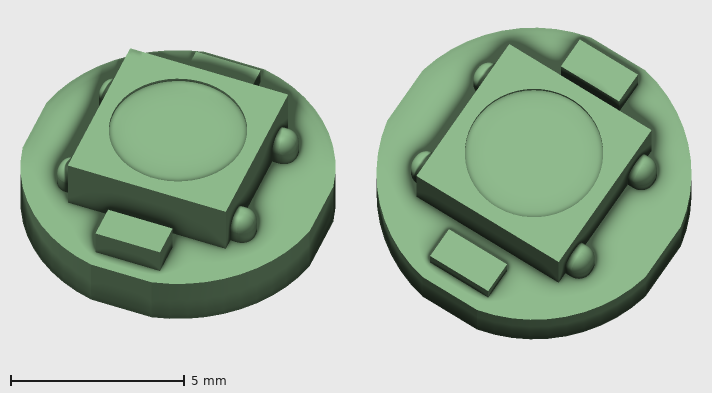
import cadquery as cq

board_radius = 4.55
board_across_flats = 8.9
board_thickness = 1.5

body_side = 4.9
total_height = 3.1
body_height = total_height - board_thickness
recess_diameter = 4.0
recess_depth = 0.1

terminal_span = 6.105
terminal_width = 0.9
terminal_height = 0.8
terminal_rounding = 0.4
terminal_offset = 1.65

block_length = 2.0
block_width = 1.0
block_offset = 3.45
front_block_height = 0.8
back_block_height = 0.5


def box_on_board(length, width, height, y=0.0):
    """Box standing on the board, centred on X = 0 and the given Y."""
    box = cq.Workplane("XY").box(length, width, height, centered=(True, True, False))
    return box.translate((0, y, board_thickness))


def make_board():
    """Disc trimmed by a square to leave a flat on each of the four sides."""
    disc = cq.Workplane("XY").circle(board_radius).extrude(board_thickness)
    trim = cq.Workplane("XY").rect(board_across_flats, board_across_flats).extrude(board_thickness)
    return disc.intersect(trim)


def make_terminal_pair(y):
    """Bar running through the body, so a rounded end stands out on either side."""
    bar = box_on_board(terminal_span, terminal_width, terminal_height, y)
    bar = bar.edges("|Z").fillet(terminal_rounding)
    return bar.faces(">Z").edges().fillet(terminal_rounding)


def make_recess():
    """Cutter for the round recess in the top of the body."""
    floor = cq.Workplane("XY").workplane(offset=total_height - recess_depth)
    return floor.circle(recess_diameter / 2).extrude(recess_depth)


result = make_board()
result = result.union(box_on_board(body_side, body_side, body_height))
for side in (-1, 1):
    result = result.union(make_terminal_pair(side * terminal_offset))
result = result.union(box_on_board(block_length, block_width, front_block_height, -block_offset))
result = result.union(box_on_board(block_length, block_width, back_block_height, block_offset))
result = result.cut(make_recess())